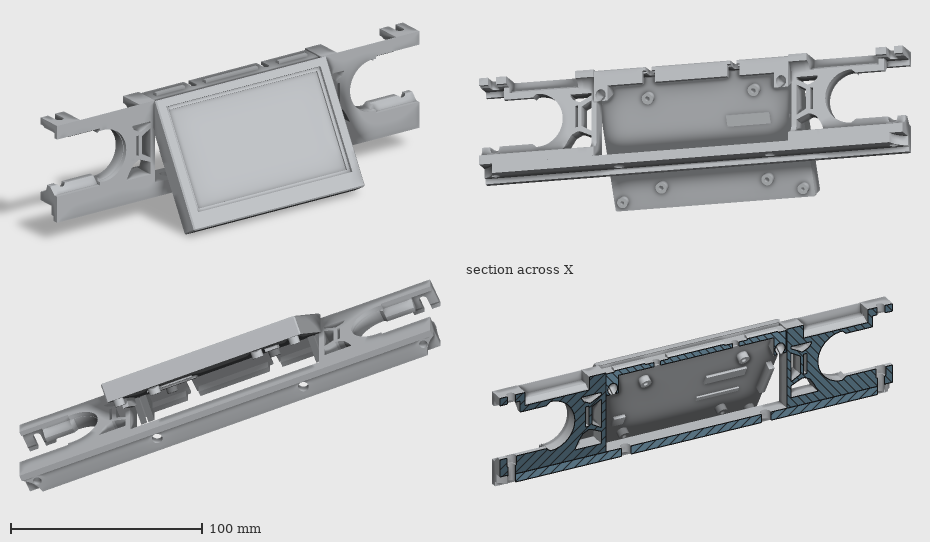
import cadquery as cq
import math

LENGTH = 231.5
HALF_LENGTH = LENGTH / 2
DEPTH = 14.8
HALF_GAP = 53.3
FRAME_TOP = 46.5

PLATE_THICKNESS = 5.0
LEG_BOTTOM = -7.9
LEG_FRONT = 11.3
RAIL_HOLE_DIAMETER = 5.5
RAIL_HOLE_Y = 41.2
CORNER_CUT_RADIUS = 14.0
CORNER_CUT_X = -2.5
CORNER_CUT_OVERHANG = 6.5

BOLT_X = 7.0
BOLT_Y = HALF_LENGTH - BOLT_X
BOLT_DIAMETER = 4.5
BOLT_RECESS_DIAMETER = 5.5

WEB_FRONT = 5.5
COVE_RADIUS = 4.9
COVE_X = WEB_FRONT - COVE_RADIUS
LOWER_COVE_Z = 10.0
LIP_TOP = LOWER_COVE_Z - COVE_RADIUS
LIP_CHAMFER = 0.5
RIDGE_TOP = 10.5
RIDGE_BACK = 8.5
BLOCK_BACK_TOP = 6.7
BACK_LEDGE_FRONT = 12.3
BEAM_BOTTOM = 35.5
BEAM_FRONT_TOP = 39.0
BEAM_CHAMFER_FRONT = 8.0
BEAM_CHAMFER_BACK = 11.5
BEAM_CAP_BACK = 11.0
BEAM_FLOOR = 40.8
BEAM_FLOOR_FRONT = 10.0
BEAM_SLOPE_BREAK = (8.5, 39.5)
BEAM_RIDGE_BACK = 7.2
BEAM_WALL_THICKNESS = 0.5
BEAM_WALL_TOP = 46.3
BEAM_END_Y = 104.0
END_BLOCK_LENGTH = 14.8
END_BLOCK_RECESS_Z = 42.0
END_BLOCK_RECESS_FRONT = 3.2
UPPER_LIP_Z = 42.6
UPPER_LIP_BACK = 2.0
CONNECTOR_END_Y = 63.2
RING_Y = 86.2
RING_Z = 23.0
RING_RADIUS = 14.4
RING_STEP = 0.2
RAMP_LENGTH = 2.0
TRUSS_INNER_Y = 56.0
TRUSS_FLOOR = 5.5
TRUSS_OPENINGS = [
    [(TRUSS_INNER_Y, 35.5), (67.6, 35.5), (67.6, 34.5), (66.2, 32.7),
     (63.0, 31.0), (62.0, 31.0), (TRUSS_INNER_Y, 34.3)],
    [(TRUSS_INNER_Y, 31.5), (61.4, 28.5), (61.4, 18.0), (TRUSS_INNER_Y, 15.0)],
    [(63.5, 29.2), (65.0, 29.2), (65.0, 17.5), (63.5, 17.5)],
    [(TRUSS_INNER_Y, 12.5), (62.3, 15.3), (63.7, 15.3), (67.0, 13.7), (69.3, 10.2),
     (71.5, TRUSS_FLOOR), (TRUSS_INNER_Y, TRUSS_FLOOR)],
]

TILT = math.radians(30)
BOX_LENGTH = 71.0
BOX_THICKNESS = 10.2
BOX_HALF_WIDTH = 54.7
BOX_TOP_X = 17.4
BOX_TOP_Z = 47.5
BOX_WALL = 1.5
BOX_BOTTOM_WALL = 2.0
BOX_CHAMFER = 0.7
UPPER_SIDE_STEP = 0.5
INSIDE_SHOULDER_S = 15.0
HOOD_HALF_WIDTH = 53.0
SHOULDER_X = 15.0
SHOULDER_STEP_X = 16.5
SHOULDER_STEP = 0.5
HOOD_TOP = 45.9
HOOD_TOP_BACK = 12.0
HOOD_CHAMFER = 0.7
HOOD_WALL = 2.8
HOOD_FRONT_BOTTOM = 37.3
TAB_INNER_Y = 45.6
TAB_BOTTOM = 29.2
TAB_HOLE_Y = 49.3
TAB_HOLE_S = 4.5
TAB_HOLE_DIAMETER = 5.5
RIB_FRONT = 5.5
RIB_CREST = 7.0
RIB_BACK = 9.3
RIB_TOP = BOX_TOP_Z
RIB_SPANS = [(-48.2, -30.0), (-16.7, 16.7), (30.0, 48.2)]
NOTCH_Y = 23.2
NOTCH_WIDTH = 3.5
NOTCH_LENGTH = 8.8
NOTCH_POCKET_WIDTH = 7.0
NOTCH_POCKET_TOP = 43.8

WINDOW_TOP_S = 4.5
WINDOW_BOTTOM_S = 62.0
WINDOW_HALF_WIDTH = 49.3
WINDOW_RECESS = 1.6
WINDOW_LEDGE = 1.9
FACE_THICKNESS = 2.5
SCREEN_BACK = 4.2

BOARD_THICKNESS = 2.3
STANDOFF_HEIGHT = 3.7
BOARD_STANDOFFS = [(10.7, 27.0), (10.7, -30.8), (59.3, 27.0), (59.3, -30.8)]
CORNER_STANDOFFS = [(65.8, 49.3), (65.8, -49.3)]
BOARD_STANDOFF_DIAMETER = 6.0
CORNER_STANDOFF_DIAMETER = 5.5
BOARD_STANDOFF_BORE = 2.5
CORNER_STANDOFF_BORE = 2.0
BOARD_PARTS = [
    ((24.5, 46.8), (-51.9, -48.6), 4.6),
    ((23.6, 29.6), (-36.8, -13.2), 1.5),
    ((42.6, 45.5), (-37.3, -12.5), 1.0),
    ((42.8, 49.3), (29.9, 36.5), 1.9),
]
OVERCUT = 2.3


def box(x_range, y_range, z_range):
    """Box between three coordinate ranges."""
    size = [high - low for low, high in (x_range, y_range, z_range)]
    corner = (x_range[0], y_range[0], z_range[0])
    return cq.Workplane("XY").box(*size, centered=False).translate(corner)


def along_y(profile, y_start, y_end):
    """Extrude an XZ outline from y_start to y_end."""
    return profile.extrude(y_start - y_end).translate((0, y_start, 0))


def xz_polygon(points):
    return cq.Workplane("XZ").polyline(points).close()


def yz_prism(points, x_start, x_end):
    """Prism with a YZ outline, from x_start to x_end."""
    outline = cq.Workplane("YZ").workplane(offset=x_start).polyline(points).close()
    return outline.extrude(x_end - x_start)


def upright_cylinder(x, y, diameter, z_start, z_end):
    circle = cq.Workplane("XY", origin=(x, y, z_start)).circle(diameter / 2)
    return circle.extrude(z_end - z_start)


def make_rail():
    y_range = (-HALF_LENGTH, HALF_LENGTH)
    rail = box((0, DEPTH), y_range, (-PLATE_THICKNESS, 0))
    rail = rail.union(box((LEG_FRONT, DEPTH), y_range, (LEG_BOTTOM, -PLATE_THICKNESS)))
    for side in (-1, 1):
        corner_y = side * (HALF_LENGTH + CORNER_CUT_OVERHANG)
        holes = [
            (CORNER_CUT_X, corner_y, 2 * CORNER_CUT_RADIUS),
            (BOLT_X, side * BOLT_Y, BOLT_DIAMETER),
            (BOLT_X, side * RAIL_HOLE_Y, RAIL_HOLE_DIAMETER),
        ]
        for x, y, diameter in holes:
            rail = rail.cut(upright_cylinder(x, y, diameter, -PLATE_THICKNESS, 0))
    return rail


def lower_block():
    """Foot with a round cove along its front and a ridge behind the cove."""
    cove_mid = (COVE_X + COVE_RADIUS * math.sin(math.pi / 4),
                LOWER_COVE_Z - COVE_RADIUS * math.cos(math.pi / 4))
    profile = (
        cq.Workplane("XZ").moveTo(0, 0).lineTo(0, LIP_TOP - LIP_CHAMFER).lineTo(LIP_CHAMFER, LIP_TOP)
        .lineTo(COVE_X, LIP_TOP).threePointArc(cove_mid, (WEB_FRONT, LOWER_COVE_Z))
        .lineTo(WEB_FRONT, RIDGE_TOP).lineTo(RIDGE_BACK, RIDGE_TOP)
        .lineTo(BACK_LEDGE_FRONT, BLOCK_BACK_TOP).lineTo(DEPTH, BLOCK_BACK_TOP)
        .lineTo(DEPTH, 0).close()
    )
    return along_y(profile, HALF_GAP, HALF_LENGTH)


def beam():
    """Upper beam: a ridge, a floor behind it, a thin wall at the back and a cap at the outer end."""
    wall_front = DEPTH - BEAM_WALL_THICKNESS
    profile = xz_polygon([
        (WEB_FRONT, BEAM_BOTTOM), (BEAM_CHAMFER_FRONT, BEAM_BOTTOM), (BEAM_CHAMFER_BACK, BEAM_FRONT_TOP),
        (DEPTH, BEAM_FRONT_TOP), (DEPTH, BEAM_WALL_TOP), (wall_front, BEAM_WALL_TOP),
        (wall_front, BEAM_FLOOR), (BEAM_FLOOR_FRONT, BEAM_FLOOR), BEAM_SLOPE_BREAK,
        (BEAM_RIDGE_BACK, BEAM_FRONT_TOP), (WEB_FRONT, BEAM_FRONT_TOP),
    ])
    end_cap = xz_polygon([
        (WEB_FRONT, BEAM_BOTTOM), (BEAM_CHAMFER_FRONT, BEAM_BOTTOM), (BEAM_CHAMFER_BACK, BEAM_FRONT_TOP),
        (BEAM_CAP_BACK, BEAM_FLOOR), (BEAM_CAP_BACK, END_BLOCK_RECESS_Z), (WEB_FRONT, END_BLOCK_RECESS_Z),
    ])
    body = along_y(profile, HALF_GAP, BEAM_END_Y)
    return body.union(along_y(end_cap, HALF_LENGTH - END_BLOCK_LENGTH, BEAM_END_Y))


def end_block():
    """Clamp block at the outer end of the beam, recessed underneath."""
    profile = xz_polygon([
        (0, FRAME_TOP), (0, UPPER_LIP_Z), (UPPER_LIP_BACK, UPPER_LIP_Z),
        (END_BLOCK_RECESS_FRONT, END_BLOCK_RECESS_Z),
        (BACK_LEDGE_FRONT, END_BLOCK_RECESS_Z), (BACK_LEDGE_FRONT, BEAM_FRONT_TOP),
        (DEPTH, BEAM_FRONT_TOP), (DEPTH, FRAME_TOP),
    ])
    return along_y(profile, HALF_LENGTH - END_BLOCK_LENGTH, HALF_LENGTH)


def connector():
    """Block between the beam and the hood, with a cove under its front lip."""
    cove_z = UPPER_LIP_Z - COVE_RADIUS
    cove_mid = (COVE_X + COVE_RADIUS * math.sin(math.pi / 4),
                cove_z + COVE_RADIUS * math.cos(math.pi / 4))
    profile = (
        cq.Workplane("XZ").moveTo(0, FRAME_TOP).lineTo(0, UPPER_LIP_Z)
        .lineTo(COVE_X, UPPER_LIP_Z).threePointArc(cove_mid, (WEB_FRONT, cove_z))
        .lineTo(DEPTH, cove_z).lineTo(DEPTH, FRAME_TOP).close()
    )
    return along_y(profile, HALF_GAP, CONNECTOR_END_Y)


def ring_opening():
    """Opening that runs in from the end of the frame and ends in a half ring."""
    ramp_y = RING_Y + RAMP_LENGTH
    outside_y = HALF_LENGTH + OVERCUT
    outline = (
        cq.Workplane("YZ").moveTo(outside_y, RIDGE_TOP).lineTo(ramp_y, RIDGE_TOP)
        .lineTo(RING_Y, RING_Z - RING_RADIUS)
        .threePointArc((RING_Y - RING_RADIUS, RING_Z), (RING_Y, RING_Z + RING_RADIUS))
        .lineTo(ramp_y, BEAM_BOTTOM).lineTo(outside_y, BEAM_BOTTOM).close()
    )
    opening = outline.extrude(DEPTH)
    step = cq.Workplane("YZ", origin=(BACK_LEDGE_FRONT, RING_Y, RING_Z))
    return opening.union(step.circle(RING_RADIUS + RING_STEP).extrude(DEPTH - BACK_LEDGE_FRONT))


def bolt_cuts():
    """Bolt hole and recess in the foot, and the open slot in the end block above."""
    hole = upright_cylinder(BOLT_X, BOLT_Y, BOLT_DIAMETER, 0, FRAME_TOP)
    recess = upright_cylinder(BOLT_X, BOLT_Y, BOLT_RECESS_DIAMETER, LIP_TOP, RIDGE_TOP)
    half_slot = BOLT_DIAMETER / 2
    slot = box((0, BOLT_X), (BOLT_Y - half_slot, BOLT_Y + half_slot), (BEAM_FLOOR, FRAME_TOP))
    return hole.union(recess).union(slot)


def make_end_frame(side):
    """End frame on the +Y side (side = 1) or its mirror image on the -Y side (side = -1)."""
    web = box((WEB_FRONT, DEPTH), (HALF_GAP, RING_Y + RAMP_LENGTH), (LIP_TOP, BEAM_FRONT_TOP))
    frame = lower_block().union(web).union(beam()).union(end_block()).union(connector())
    frame = frame.cut(ring_opening()).cut(bolt_cuts())
    for points in TRUSS_OPENINGS:
        frame = frame.cut(yz_prism(points, 0, DEPTH))
    if side < 0:
        frame = frame.mirror("XZ")
    return frame


SLOPE = (math.sin(TILT), 0, -math.cos(TILT))
FACE_NORMAL = (math.cos(TILT), 0, math.sin(TILT))
BOX_BACK = -BOX_THICKNESS


def tilted_plane(height):
    """Plane parallel to the sloping face at the given height above it."""
    plane = cq.Plane((BOX_TOP_X, 0, BOX_TOP_Z), SLOPE, FACE_NORMAL)
    return cq.Workplane(plane).workplane(offset=height)


def tilted_box(s_range, y_range, height_range):
    s_start, s_end = s_range
    y_start, y_end = y_range
    centre = ((s_start + s_end) / 2, (y_start + y_end) / 2)
    outline = tilted_plane(height_range[0]).center(*centre).rect(s_end - s_start, y_end - y_start)
    return outline.extrude(height_range[1] - height_range[0])


def tilted_cylinder(s, y, diameter, height_range):
    circle = tilted_plane(height_range[0]).center(s, y).circle(diameter / 2)
    return circle.extrude(height_range[1] - height_range[0])


def slope_point(s, height):
    """X and Z of a point given along the slope and above the face."""
    x = BOX_TOP_X + s * SLOPE[0] + height * FACE_NORMAL[0]
    z = BOX_TOP_Z + s * SLOPE[2] + height * FACE_NORMAL[2]
    return x, z


def inside_of_box(top):
    """Inside of the box from its back up to a height; narrower at the upper, hooded end."""
    s_end = BOX_LENGTH - BOX_BOTTOM_WALL
    narrow = HOOD_HALF_WIDTH - BOX_WALL
    wide = BOX_HALF_WIDTH - BOX_WALL
    inside = tilted_box((BOX_WALL, s_end), (-narrow, narrow), (BOX_BACK, top))
    return inside.union(tilted_box((INSIDE_SHOULDER_S, s_end), (-wide, wide), (BOX_BACK, top)))


def tilted_shell():
    """Box open at its back, with chamfered edges and a stepped window in its face."""
    shell = tilted_box((0, BOX_LENGTH), (-BOX_HALF_WIDTH, BOX_HALF_WIDTH), (BOX_BACK, 0))
    normal = cq.Vector(*FACE_NORMAL)
    lower_side = shell.faces(cq.selectors.DirectionMinMaxSelector(cq.Vector(*SLOPE), True))
    shell = lower_side.edges(cq.selectors.ParallelDirSelector(normal)).chamfer(BOX_CHAMFER)
    shell = shell.faces(cq.selectors.DirectionMinMaxSelector(normal, True)).edges().chamfer(BOX_CHAMFER)
    step_y = (-BOX_HALF_WIDTH, BOX_HALF_WIDTH)
    shell = shell.cut(tilted_box((0, UPPER_SIDE_STEP), step_y, (BOX_BACK, -FACE_THICKNESS)))
    steps = [(SHOULDER_X, HOOD_HALF_WIDTH), (SHOULDER_STEP_X, BOX_HALF_WIDTH - SHOULDER_STEP)]
    for side in (-1, 1):
        for step_x, half_width in steps:
            y_range = sorted((side * half_width, side * (BOX_HALF_WIDTH + OVERCUT)))
            shell = shell.cut(box((0, step_x), y_range, (0, BOX_TOP_Z + OVERCUT)))
    shell = shell.cut(inside_of_box(-FACE_THICKNESS))
    return shell.cut(window_cut(0, (-WINDOW_RECESS, 0))).cut(window_cut(WINDOW_LEDGE, (-FACE_THICKNESS, 0)))


def window_cut(inset, height_range):
    """Rectangle of the window, drawn in by an inset on all sides."""
    s_range = (WINDOW_TOP_S + inset, WINDOW_BOTTOM_S - inset)
    half_width = WINDOW_HALF_WIDTH - inset
    return tilted_box(s_range, (-half_width, half_width), height_range)


def hood():
    """Top plate, front wall and two solid side tabs that carry the box."""
    inner_z = HOOD_TOP - HOOD_WALL
    side_x, side_z = slope_point(UPPER_SIDE_STEP, 0)
    step_z = side_z - (side_x - HOOD_TOP_BACK) * math.tan(TILT)
    plate_back = (side_x - (side_z - inner_z) / math.tan(TILT), inner_z)
    section = xz_polygon([
        (0, HOOD_FRONT_BOTTOM), (0, HOOD_TOP - HOOD_CHAMFER), (HOOD_CHAMFER, HOOD_TOP),
        (HOOD_TOP_BACK, HOOD_TOP), (HOOD_TOP_BACK, step_z), plate_back,
        (HOOD_WALL, inner_z), (HOOD_WALL, HOOD_FRONT_BOTTOM),
    ])
    body = along_y(section, -HOOD_HALF_WIDTH, HOOD_HALF_WIDTH)
    tab_s = (BOX_TOP_Z - TAB_BOTTOM) * math.cos(TILT) - BOX_TOP_X * math.sin(TILT)
    tab_points = [
        (0, TAB_BOTTOM), (0, inner_z), plate_back,
        slope_point(UPPER_SIDE_STEP, BOX_BACK), slope_point(tab_s, BOX_BACK),
    ]
    for side in (-1, 1):
        start, end = sorted((side * TAB_INNER_Y, side * HOOD_HALF_WIDTH))
        body = body.union(along_y(xz_polygon(tab_points), start, end))
        bore_range = (-BOX_TOP_X - BOX_TOP_Z, BOX_BACK)
        body = body.cut(tilted_cylinder(TAB_HOLE_S, side * TAB_HOLE_Y, TAB_HOLE_DIAMETER, bore_range))
        body = body.cut(hood_notch(side * NOTCH_Y))
    for start, end in RIB_SPANS:
        rib = xz_polygon([
            (RIB_FRONT, HOOD_TOP), (RIB_CREST, RIB_TOP), (RIB_BACK, RIB_TOP), (RIB_BACK, HOOD_TOP),
        ])
        body = body.union(along_y(rib, start, end))
    return body


def hood_notch(y):
    """Round-ended slot in the top plate with a wider pocket in the front wall below it."""
    half_slot = NOTCH_WIDTH / 2
    half_pocket = NOTCH_POCKET_WIDTH / 2
    slot_end_x = NOTCH_LENGTH - half_slot
    z_range = (HOOD_TOP - HOOD_WALL, HOOD_TOP)
    slot = box((0, slot_end_x), (y - half_slot, y + half_slot), z_range)
    slot = slot.union(upright_cylinder(slot_end_x, y, NOTCH_WIDTH, *z_range))
    pocket_z = (HOOD_FRONT_BOTTOM, NOTCH_POCKET_TOP)
    return slot.union(box((0, HOOD_WALL), (y - half_pocket, y + half_pocket), pocket_z))


def make_housing():
    return tilted_shell().union(hood())


def make_screen():
    """Screen plate that closes the window from inside the box."""
    s_range = (WINDOW_TOP_S, WINDOW_BOTTOM_S)
    y_range = (-WINDOW_HALF_WIDTH, WINDOW_HALF_WIDTH)
    return tilted_box(s_range, y_range, (-SCREEN_BACK, -FACE_THICKNESS))


def make_board():
    """Board that closes the back of the box, with bored standoffs and raised parts."""
    board = inside_of_box(BOX_BACK + BOARD_THICKNESS)
    for s_range, part_y, height in BOARD_PARTS:
        board = board.union(tilted_box(s_range, part_y, (BOX_BACK - height, BOX_BACK)))
    standoff_range = (BOX_BACK - STANDOFF_HEIGHT, BOX_BACK)
    kinds = [
        (BOARD_STANDOFFS, BOARD_STANDOFF_DIAMETER, BOARD_STANDOFF_BORE),
        (CORNER_STANDOFFS, CORNER_STANDOFF_DIAMETER, CORNER_STANDOFF_BORE),
    ]
    for places, diameter, bore in kinds:
        for s, y in places:
            board = board.union(tilted_cylinder(s, y, diameter, standoff_range))
            board = board.cut(tilted_cylinder(s, y, bore, standoff_range))
    return board


rail = make_rail()
end_frames = [make_end_frame(side) for side in (-1, 1)]
housing = make_housing()
screen = make_screen()
board = make_board()

result = cq.Compound.makeCompound([
    rail.solids().val(),
    *[frame.solids().val() for frame in end_frames],
    housing.solids().val(),
    screen.solids().val(),
    board.solids().val(),
])